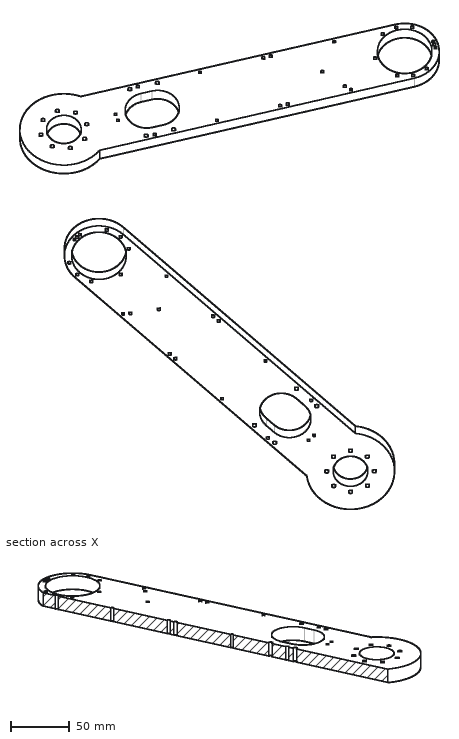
import cadquery as cq
import math

length = 373.0
thickness = 12.5
hub_radius = 38.0
bar_width = 59.5
tip_radius = bar_width / 2
tip_y = length - hub_radius - tip_radius

hub_bore_diameter = 30.0
tip_bore_diameter = 47.0
window_width = 37.3
window_length = 47.0
window_y = 79.0

screw_diameter = 2.5
bolt_diameter = 3.25
pin_diameter = 2.2
hub_bolt_circle_radius = 20.5
hub_bolt_count = 8
tip_screw_circle_radius = 26.5
tip_screw_angles = (-90, -30, 0, 30, 90, 150, 180, 210)

edge_x = 26.5
edge_screw_rows = (74.0, 186.0, 193.0)
edge_pin_rows = (129.5, 249.5)
bolt_x = 25.7
bolt_rows = (66.5, 91.0)
pin_x = 3.5
pin_rows = (47.5, tip_y + tip_screw_circle_radius)

single_holes = [(1.5, 231.0), (21.5, 245.5)]


def mirrored_rows(x, rows):
    """Points at +x and -x for every row height."""
    return [(side * x, y) for y in rows for side in (-1, 1)]


def drill(body, points, diameter):
    """Cut round holes through the full thickness."""
    cutter = (
        cq.Workplane("XY")
        .pushPoints(points)
        .circle(diameter / 2)
        .extrude(thickness)
    )
    return body.cut(cutter)


def make_plate():
    hub = cq.Workplane("XY").circle(hub_radius).extrude(thickness)
    bar = cq.Workplane("XY").center(0, tip_y / 2).rect(bar_width, tip_y).extrude(thickness)
    tip = cq.Workplane("XY").center(0, tip_y).circle(tip_radius).extrude(thickness)
    return hub.union(bar).union(tip)


def cut_window(body):
    window = (
        cq.Workplane("XY")
        .center(0, window_y)
        .slot2D(window_length, window_width, 90)
        .extrude(thickness)
    )
    return body.cut(window)


def polar_holes(body, centre_y, radius, angles, diameter):
    """Drill through holes at the given angles on a circle about (0, centre_y)."""
    points = []
    for angle in angles:
        turn = math.radians(angle)
        points.append((radius * math.cos(turn), centre_y + radius * math.sin(turn)))
    return drill(body, points, diameter)


result = make_plate()
result = drill(result, [(0, 0)], hub_bore_diameter)
result = drill(result, [(0, tip_y)], tip_bore_diameter)
result = cut_window(result)

hub_bolt_angles = [i * 360 / hub_bolt_count for i in range(hub_bolt_count)]
result = polar_holes(result, 0, hub_bolt_circle_radius, hub_bolt_angles, bolt_diameter)
result = polar_holes(result, tip_y, tip_screw_circle_radius, tip_screw_angles, screw_diameter)

result = drill(result, mirrored_rows(edge_x, edge_screw_rows), screw_diameter)
result = drill(result, mirrored_rows(edge_x, edge_pin_rows), pin_diameter)
result = drill(result, mirrored_rows(bolt_x, bolt_rows), bolt_diameter)
result = drill(result, single_holes, screw_diameter)
result = drill(result, mirrored_rows(pin_x, pin_rows), pin_diameter)